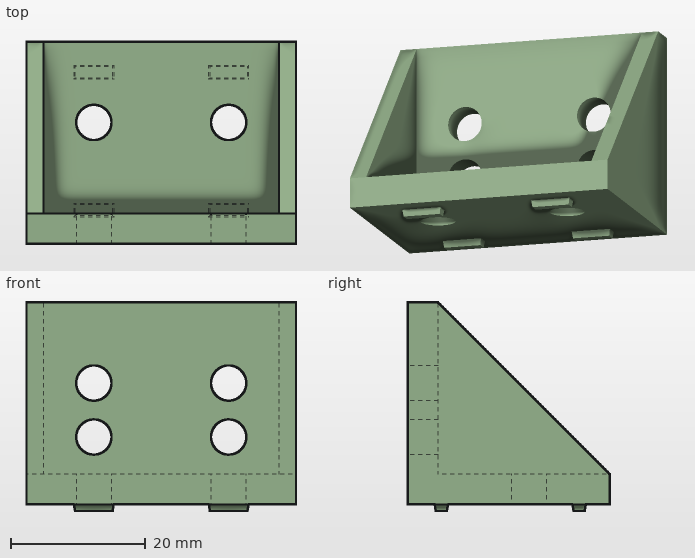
import cadquery as cq

width = 40.0
leg = 30.0
plate_thickness = 4.5
cheek_thickness = 2.5

hole_diameter = 5.2
hole_spacing = 20.0
hole_columns = [(width - hole_spacing) / 2, (width + hole_spacing) / 2]
low_hole = 10.0
high_hole = 18.0

tab_length = 5.9
tab_width = 2.0
tab_height = 1.0
tab_inset = 0.15
tab_rows = [5.0, 25.45]


def make_body():
    """Wedge-shaped bracket, hollowed between the two cheeks."""
    outline = [
        (0, 0),
        (leg, 0),
        (leg, plate_thickness),
        (plate_thickness, leg),
        (0, leg),
    ]
    wedge = cq.Workplane("YZ").polyline(outline).close().extrude(width)
    cavity = cq.Workplane("XY").box(
        width - 2 * cheek_thickness, leg, leg, centered=False
    ).translate((cheek_thickness, plate_thickness, plate_thickness))
    return wedge.cut(cavity)


def make_tab(x, y):
    """Rectangular tab that narrows downwards."""
    return (
        cq.Workplane("XY")
        .center(x, y)
        .rect(tab_length, tab_width)
        .workplane(offset=-tab_height)
        .rect(tab_length - 2 * tab_inset, tab_width - 2 * tab_inset)
        .loft(ruled=True)
    )


def upright_hole(x, z):
    """Cutter along Y through the upright plate."""
    return (
        cq.Workplane("XZ").center(x, z).circle(hole_diameter / 2).extrude(-plate_thickness)
    )


def base_hole(x, y):
    """Cutter along Z through the base plate."""
    return (
        cq.Workplane("XY").center(x, y).circle(hole_diameter / 2).extrude(plate_thickness)
    )


result = make_body()
for column in hole_columns:
    for row in tab_rows:
        result = result.union(make_tab(column, row))
    for height in (low_hole, high_hole):
        result = result.cut(upright_hole(column, height))
    result = result.cut(base_hole(column, high_hole))